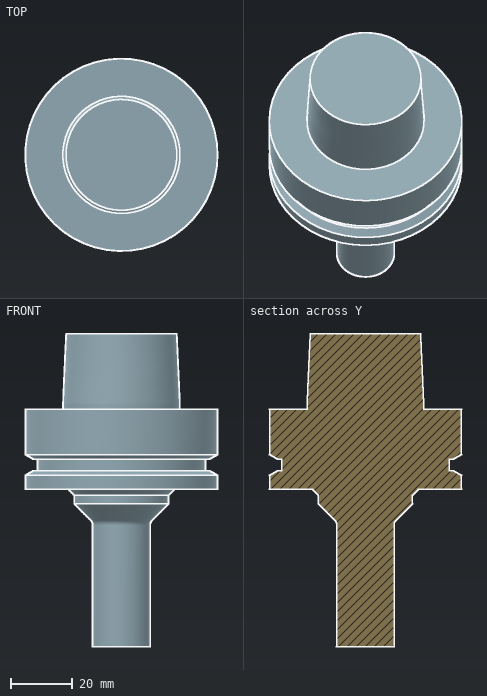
import cadquery as cq
import math

total_height = 102.5

spigot_height = 24.7
spigot_top_radius = 36.3 / 2
collar_radius = 38.3 / 2
collar_height = 1.8

flange_radius = 63.0 / 2
flange_height = 26.2
upper_rim_height = 14.9
lower_rim_height = 4.6
groove_radius = 55.0 / 2
flank_height = 1.5
flank_angle = math.radians(60)

neck_radius = 31.0 / 2
upper_cone_height = 1.9
neck_height = 2.8

shank_radius = 19.0 / 2
blend_radius = 2.2
blend_angle = math.radians(45)

flange_top = total_height - spigot_height
flange_bottom = flange_top - flange_height
upper_rim_bottom = flange_top - upper_rim_height
lower_rim_top = flange_bottom + lower_rim_height
flank_end_radius = flange_radius - flank_height * math.tan(flank_angle)
neck_top = flange_bottom - upper_cone_height
neck_bottom = neck_top - neck_height


def blend_point(angle):
    """Radius and rise above the shank end of the blend arc after turning by angle."""
    radius = shank_radius + blend_radius * (1 - math.cos(angle))
    rise = blend_radius * math.sin(angle)
    return radius, rise


blend_top_radius, blend_rise = blend_point(blend_angle)
blend_mid_radius, blend_mid_rise = blend_point(blend_angle / 2)
blend_top = neck_bottom - (neck_radius - blend_top_radius)
shank_top = blend_top - blend_rise

profile = (
    cq.Workplane("XZ")
    .lineTo(shank_radius, 0)
    .lineTo(shank_radius, shank_top)
    .threePointArc(
        (blend_mid_radius, shank_top + blend_mid_rise),
        (blend_top_radius, blend_top),
    )
    .lineTo(neck_radius, neck_bottom)
    .lineTo(neck_radius, neck_top)
    .lineTo(neck_radius + upper_cone_height, flange_bottom)
    .lineTo(flange_radius, flange_bottom)
    .lineTo(flange_radius, lower_rim_top)
    .lineTo(flank_end_radius, lower_rim_top + flank_height)
    .lineTo(groove_radius, lower_rim_top + flank_height)
    .lineTo(groove_radius, upper_rim_bottom - flank_height)
    .lineTo(flank_end_radius, upper_rim_bottom - flank_height)
    .lineTo(flange_radius, upper_rim_bottom)
    .lineTo(flange_radius, flange_top)
    .lineTo(collar_radius, flange_top)
    .lineTo(collar_radius, flange_top + collar_height)
    .lineTo(spigot_top_radius, total_height)
    .lineTo(0, total_height)
    .close()
)

result = profile.revolve(360, (0, 0, 0), (0, 1, 0))